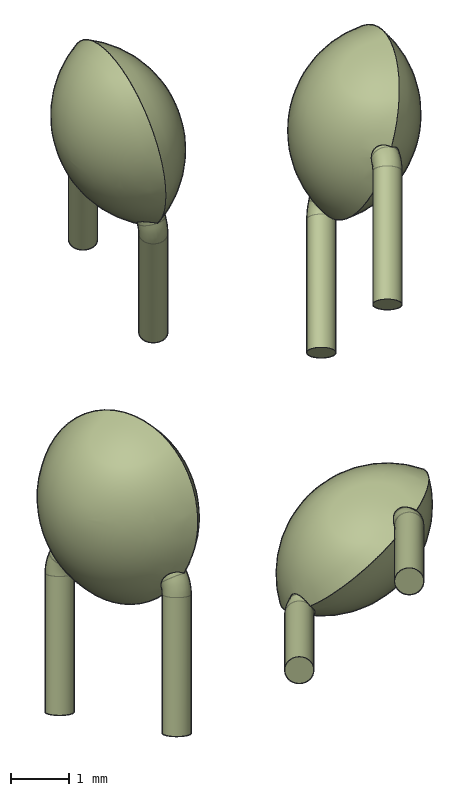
import cadquery as cq
import math

total_height = 5.5
body_diameter = 3.4
body_thickness = 2.1
lead_diameter = 0.5
lead_pitch = 2.5
straight_length = 2.455
bend_radius = 0.59
bend_angle = 28.0
embedded_length = 0.55

body_radius = body_diameter / 2
half_thickness = body_thickness / 2
body_center_z = total_height - body_radius


def make_body():
    """Two equal spherical caps meeting at a sharp rim, with the axis along Y."""
    cap_radius = (body_radius**2 + half_thickness**2) / (2 * half_thickness)
    mid_angle = math.asin(body_radius / cap_radius) / 2
    mid_x = cap_radius * math.sin(mid_angle)
    mid_y = half_thickness - cap_radius * (1 - math.cos(mid_angle))
    return (
        cq.Workplane("XY")
        .moveTo(0, -half_thickness)
        .threePointArc((mid_x, -mid_y), (body_radius, 0))
        .threePointArc((mid_x, mid_y), (0, half_thickness))
        .close()
        .revolve(360, (0, 0, 0), (0, 1, 0))
        .translate((0, 0, body_center_z))
    )


def make_lead(side):
    """Round wire on one side (-1 or 1), bent inwards so that its end lies inside the body."""
    lead_x = side * lead_pitch / 2
    turn = math.radians(bend_angle)

    def bend_point(angle):
        """Point on the bend centreline after turning by the given angle."""
        inward = bend_radius * (1 - math.cos(angle))
        return (side * (lead_pitch / 2 - inward), straight_length + bend_radius * math.sin(angle))

    bend_end_x, bend_end_z = bend_point(turn)
    wire_end = (
        bend_end_x - side * embedded_length * math.sin(turn),
        bend_end_z + embedded_length * math.cos(turn),
    )
    centreline = (
        cq.Workplane("XZ")
        .moveTo(lead_x, 0)
        .lineTo(lead_x, straight_length)
        .threePointArc(bend_point(turn / 2), (bend_end_x, bend_end_z))
        .lineTo(*wire_end)
    )
    return (
        cq.Workplane("XY", origin=(lead_x, 0, 0))
        .circle(lead_diameter / 2)
        .sweep(centreline)
    )


result = make_body()
for side in (-1, 1):
    result = result.union(make_lead(side))